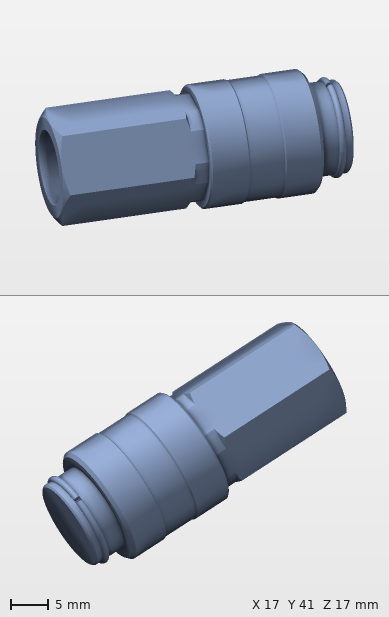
import cadquery as cq
import math

LENGTH = 41.0

HEX_FLATS = 14.0
HEX_CORNERS = HEX_FLATS / math.cos(math.radians(30))
HEX_MOUTH_RADIUS = 6.9
BEVEL_ANGLE = 30.0
NECK_RADIUS = 7.35
NECK_START = 18.5

SLEEVE_RADIUS = 8.508
SLEEVE_START = 20.35
SLEEVE_END = 36.3
COLLAR_LENGTH = 5.55
WAIST_RADIUS = 8.32
FRONT_CHAMFER = 0.25
REAR_CHAMFER = 0.5

NOSE_RADIUS = 6.4
NOSE_CHAMFER = 0.25

BORE_RADIUS = 4.35
MOUTH_RADIUS = 5.15
COUNTERSINK_DEPTH = 0.8
BORE_DEPTH = 12.3

WIRE_RADIUS = 0.5
RING_Y = LENGTH - 1.6
RING_GAP = 0.65


def revolve_about_y(points):
    """Turn an outline of (radius, Y) points about the Y axis."""
    return cq.Workplane("XY").polyline(points).close().revolve(360, (0, 0, 0), (0, 1, 0))


def make_hexagon():
    """Hexagon with a bevelled mouth and its corners turned down at the neck."""
    slope = math.tan(math.radians(BEVEL_ANGLE))
    corner_radius = HEX_CORNERS / 2
    prism = cq.Workplane("XZ").polygon(6, HEX_CORNERS).extrude(-SLEEVE_START)
    envelope = revolve_about_y([
        (0, 0),
        (HEX_MOUTH_RADIUS, 0),
        (corner_radius, (corner_radius - HEX_MOUTH_RADIUS) * slope),
        (corner_radius, NECK_START - (corner_radius - NECK_RADIUS) * slope),
        (NECK_RADIUS, NECK_START),
        (NECK_RADIUS, SLEEVE_START),
        (0, SLEEVE_START),
    ])
    return prism.intersect(envelope)


def make_sleeve_and_nose():
    """Stepped round section behind the hexagon."""
    collar_bevel = SLEEVE_RADIUS - WAIST_RADIUS
    waist_start = SLEEVE_START + COLLAR_LENGTH
    waist_end = SLEEVE_END - COLLAR_LENGTH
    return revolve_about_y([
        (0, SLEEVE_START),
        (SLEEVE_RADIUS - FRONT_CHAMFER, SLEEVE_START),
        (SLEEVE_RADIUS, SLEEVE_START + FRONT_CHAMFER),
        (SLEEVE_RADIUS, waist_start - collar_bevel),
        (WAIST_RADIUS, waist_start),
        (WAIST_RADIUS, waist_end),
        (SLEEVE_RADIUS, waist_end + collar_bevel),
        (SLEEVE_RADIUS, SLEEVE_END - REAR_CHAMFER),
        (SLEEVE_RADIUS - REAR_CHAMFER, SLEEVE_END),
        (NOSE_RADIUS, SLEEVE_END),
        (NOSE_RADIUS, LENGTH - NOSE_CHAMFER),
        (NOSE_RADIUS - NOSE_CHAMFER, LENGTH),
        (0, LENGTH),
    ])


def make_bore():
    """Blind bore with a countersunk mouth."""
    return revolve_about_y([
        (0, 0),
        (MOUTH_RADIUS, 0),
        (BORE_RADIUS, COUNTERSINK_DEPTH),
        (BORE_RADIUS, BORE_DEPTH),
        (0, BORE_DEPTH),
    ])


def make_full_ring():
    """Closed wire ring, also the shape of its groove."""
    return (
        cq.Workplane("XY")
        .center(NOSE_RADIUS, RING_Y)
        .circle(WIRE_RADIUS)
        .revolve(360, (-NOSE_RADIUS, 0, 0), (-NOSE_RADIUS, 1, 0))
    )


def make_housing():
    """Coupling body with its bore and ring groove."""
    outside = make_hexagon().union(make_sleeve_and_nose())
    return outside.cut(make_bore()).cut(make_full_ring())


def make_snap_ring():
    """Wire ring with a parallel-sided gap at the top."""
    gap_height = NOSE_RADIUS + 2 * WIRE_RADIUS
    gap = (
        cq.Workplane("XY")
        .box(RING_GAP, 4 * WIRE_RADIUS, gap_height, centered=(True, True, False))
        .translate((0, RING_Y, 0))
    )
    return make_full_ring().cut(gap)


housing = make_housing()
snap_ring = make_snap_ring()

result = cq.Compound.makeCompound([housing.val(), snap_ring.val()])